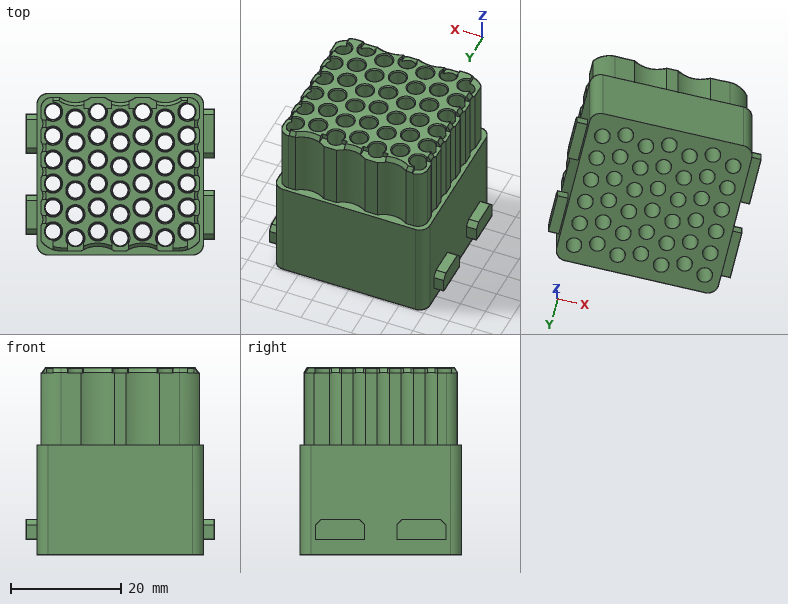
import cadquery as cq
import math

base_width = 30.25
base_depth = 29.35
base_height = 19.97
base_corner_radius = 2.02

total_height = 34.0
tower_inset = 0.75
half_width = base_width / 2 - tower_inset
half_depth = base_depth / 2 - tower_inset
rear_corner_radius = 2.0
front_corner_x = 10.75
front_corner_y = -12.1
bevel_height = 0.9
bevel_width = 0.58

column_count = 7
row_count = 6
column_pitch = 4.07
row_pitch = 4.35
outer_column_center_y = 0.48
inner_column_center_y = -0.75
upper_bore_diameter = 3.08
lower_bore_diameter = 2.8
lead_in_diameter = 3.5
lead_in_depth = 0.2

front_flute_half = 3.0
front_flute_depth = 0.85
rear_flute_half = 2.8
rear_flute_depth = 0.92
side_flute_half = 1.13
side_flute_depth = 0.35

notch_depth = 1.0
notch_half = 1.47
rear_notch_half = 2.45
side_notch_inner_x = 13.35
front_notch_inner_y = -12.4
rear_notch_inner_y = 11.95

overall_width = 34.2
lug_reach = (overall_width - base_width) / 2
lug_bottom = 2.85
lug_height = 3.63
lug_chamfer = 1.0
lug_center_y = 7.35
left_lug_length = 7.1
right_lug_length = 8.9

tower_height = total_height - base_height
notch_floor = total_height - notch_depth
outer_column_x = column_pitch * (column_count - 1) / 2
column_xs = [column_pitch * i - outer_column_x for i in range(column_count)]
row_offsets = [row_pitch * (i - (row_count - 1) / 2) for i in range(row_count)]
outer_hole_ys = [outer_column_center_y + offset for offset in row_offsets]
rear_column_xs = column_xs[2:-1:2]
front_column_xs = column_xs[1::2]
side_flute_ys = [y + row_pitch / 2 for y in outer_hole_ys[:-1]]


def arc_middle(start, end, sag):
    """Point at the middle of an arc that lies `sag` to the left of the chord."""
    dx = end[0] - start[0]
    dy = end[1] - start[1]
    chord = math.hypot(dx, dy)
    return (
        (start[0] + end[0]) / 2 - sag * dy / chord,
        (start[1] + end[1]) / 2 + sag * dx / chord,
    )


def front_corner_sag():
    """Sag of a front corner arc that runs tangentially into the front wall."""
    run = half_width - front_corner_x
    rise = half_depth + front_corner_y
    chord = math.hypot(run, rise)
    radius = chord**2 / (2 * rise)
    return radius - math.sqrt(radius**2 - chord**2 / 4)


def tower_outline():
    """Fluted tower outline, drawn counterclockwise from the front left corner."""
    outline = cq.Workplane("XY", origin=(0, 0, base_height))
    outline = outline.moveTo(-front_corner_x, -half_depth)

    def arc(start, end, sag):
        return outline.threePointArc(arc_middle(start, end, sag), end)

    for x in rear_column_xs:
        start = (x - front_flute_half, -half_depth)
        outline = outline.lineTo(*start)
        outline = arc(start, (x + front_flute_half, -half_depth), front_flute_depth)

    start = (front_corner_x, -half_depth)
    outline = outline.lineTo(*start)
    outline = arc(start, (half_width, front_corner_y), -front_corner_sag())

    for y in side_flute_ys:
        start = (half_width, y - side_flute_half)
        outline = outline.lineTo(*start)
        outline = arc(start, (half_width, y + side_flute_half), side_flute_depth)

    rear_corner_sag = rear_corner_radius * (1 - math.sqrt(0.5))
    rear_corner_x = half_width - rear_corner_radius
    rear_corner_y = half_depth - rear_corner_radius
    start = (half_width, rear_corner_y)
    outline = outline.lineTo(*start)
    outline = arc(start, (rear_corner_x, half_depth), -rear_corner_sag)

    for x in reversed(front_column_xs):
        start = (x + rear_flute_half, half_depth)
        outline = outline.lineTo(*start)
        outline = arc(start, (x - rear_flute_half, half_depth), rear_flute_depth)

    start = (-rear_corner_x, half_depth)
    outline = outline.lineTo(*start)
    outline = arc(start, (-half_width, rear_corner_y), -rear_corner_sag)

    for y in reversed(side_flute_ys):
        start = (-half_width, y + side_flute_half)
        outline = outline.lineTo(*start)
        outline = arc(start, (-half_width, y - side_flute_half), side_flute_depth)

    start = (-half_width, front_corner_y)
    outline = outline.lineTo(*start)
    outline = arc(start, (-front_corner_x, -half_depth), -front_corner_sag())
    return outline.close()


def bevelled_tower():
    straight_height = tower_height - bevel_height
    bevel_angle = math.degrees(math.atan(bevel_width / bevel_height))
    shaft = tower_outline().extrude(straight_height)
    rim = tower_outline().extrude(bevel_height, taper=bevel_angle)
    return shaft.union(rim.translate((0, 0, straight_height)))


def notch(x_min, x_max, y_min, y_max):
    size = (x_max - x_min, y_max - y_min, notch_depth)
    return cq.Workplane("XY").box(*size, centered=False).translate((x_min, y_min, notch_floor))


def rim_notches():
    cutters = []
    for x in front_column_xs:
        cutters.append(notch(x - notch_half, x + notch_half, -half_depth, front_notch_inner_y))
    for x in rear_column_xs:
        cutters.append(notch(x - rear_notch_half, x + rear_notch_half, rear_notch_inner_y, half_depth))
    for x_min, x_max in ((-half_width, -side_notch_inner_x), (side_notch_inner_x, half_width)):
        for y in outer_hole_ys:
            cutters.append(notch(x_min, x_max, y - notch_half, y + notch_half))
    for x_min, x_max in ((-half_width, -outer_column_x), (outer_column_x, half_width)):
        cutters.append(notch(x_min, x_max, -half_depth, outer_hole_ys[0]))
        cutters.append(notch(x_min, x_max, outer_hole_ys[-1], half_depth))
    return cutters


def hole_cutter():
    """Through hole: narrow bore in the base, wider bore in the tower, conical lead-in on top."""
    lower_radius = lower_bore_diameter / 2
    upper_radius = upper_bore_diameter / 2
    lead_in_radius = lead_in_diameter / 2
    return (
        cq.Workplane("XZ")
        .lineTo(lower_radius, 0)
        .lineTo(lower_radius, base_height)
        .lineTo(upper_radius, base_height)
        .lineTo(upper_radius, total_height - lead_in_depth)
        .lineTo(lead_in_radius, total_height)
        .lineTo(0, total_height)
        .close()
        .revolve(360, (0, 0), (0, 1))
    )


def hole_positions():
    positions = []
    for index, x in enumerate(column_xs):
        center_y = inner_column_center_y if index % 2 else outer_column_center_y
        positions += [(x, center_y + offset) for offset in row_offsets]
    return positions


def lug(side, length, center_y):
    """Lug with chamfered upper corners; side is -1 for left and 1 for right."""
    return (
        cq.Workplane("XY")
        .box(lug_reach, length, lug_height, centered=(True, True, False))
        .edges("|X and >Z")
        .chamfer(lug_chamfer)
        .translate((side * (base_width + lug_reach) / 2, center_y, lug_bottom))
    )


result = (
    cq.Workplane("XY")
    .box(base_width, base_depth, base_height, centered=(True, True, False))
    .edges("|Z")
    .fillet(base_corner_radius)
    .union(bevelled_tower())
)

for side, length in ((-1, left_lug_length), (1, right_lug_length)):
    for center_y in (-lug_center_y, lug_center_y):
        result = result.union(lug(side, length, center_y))

for cutter in rim_notches():
    result = result.cut(cutter)

hole = hole_cutter().val()
holes = [hole.moved(cq.Location(cq.Vector(x, y, 0))) for x, y in hole_positions()]
result = result.cut(cq.Workplane(cq.Compound.makeCompound(holes)))